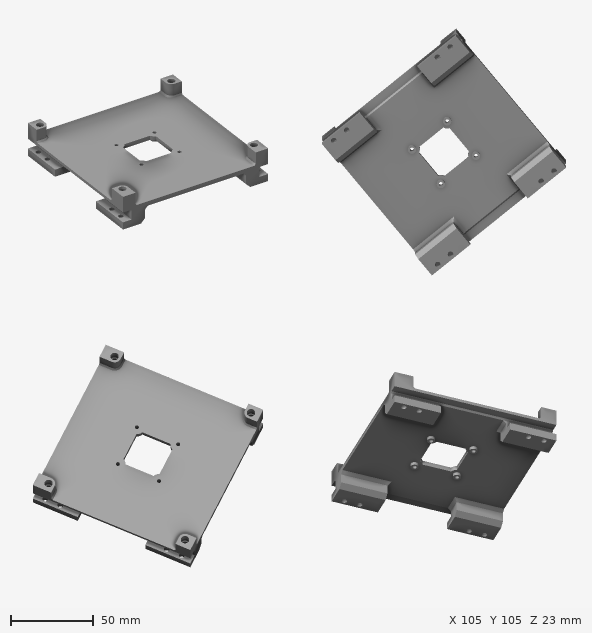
import cadquery as cq

LENGTH = 105.0
WIDTH = 105.0
HEIGHT = 23.0
HALF_LENGTH = LENGTH / 2
HALF_WIDTH = WIDTH / 2

PLATE_THICKNESS = 3.0
PLATE_TOP = 14.0
PLATE_BOTTOM = PLATE_TOP - PLATE_THICKNESS

LEG_LENGTH = 30.0
LEG_WIDTH = 16.0
FLANGE_THICKNESS = 5.0
SLOT_TOP = 12.0
SLOT_DEPTH = 6.25
SLOT_CHAMFER = 1.0
LEG_FOOT_CHAMFER = 3.0
LEG_ROOT_CHAMFER = 2.0
FLANGE_HOLE_DIAMETER = 3.4
FLANGE_HOLE_FIRST = 7.0
FLANGE_HOLE_PITCH = 10.0
FLANGE_HOLE_INSET = 3.0

POST_HOLE_INSET_Y = 5.0
POST_HOLE_INSET_LEFT = 5.85
POST_HOLE_INSET_RIGHT = 8.25
POST_HOLE_DIAMETER = 5.0
POST_HOLE_DEPTH = 6.0
POST_PILOT_DIAMETER = 3.5
POST_PILOT_DEPTH = HEIGHT - PLATE_TOP
POST_WALL = 1.5
POST_CORNER_RADIUS = POST_HOLE_DIAMETER / 2 + POST_WALL
POST_FOOT_CHAMFER = 1.0
POST_FOOT_TAPER = 45.0

OPENING_SIZE = 24.0
BOSS_PITCH = 27.5
BOSS_DIAMETER = 5.0
BOSS_HEIGHT = 2.0
BOSS_HOLE_DIAMETER = 2.5
BOSS_LAND_RADIUS = 4.75


def make_plate_with_rails():
    """Plate with a full-length leg section along the -Y and +Y edges."""
    leg_inside = HALF_WIDTH - LEG_WIDTH
    slot_wall = HALF_WIDTH - SLOT_DEPTH
    half_profile = [
        (0, PLATE_TOP),
        (HALF_WIDTH, PLATE_TOP),
        (HALF_WIDTH, SLOT_TOP),
        (slot_wall + SLOT_CHAMFER, SLOT_TOP),
        (slot_wall, SLOT_TOP - SLOT_CHAMFER),
        (slot_wall, FLANGE_THICKNESS),
        (HALF_WIDTH, FLANGE_THICKNESS),
        (HALF_WIDTH, 0),
        (leg_inside + LEG_FOOT_CHAMFER, 0),
        (leg_inside, LEG_FOOT_CHAMFER),
        (leg_inside, PLATE_BOTTOM - LEG_ROOT_CHAMFER),
        (leg_inside - LEG_ROOT_CHAMFER, PLATE_BOTTOM),
        (0, PLATE_BOTTOM),
    ]
    half = cq.Workplane("YZ").polyline(half_profile).close().extrude(HALF_LENGTH, both=True)
    return half.union(half.mirror("XZ"))


def make_leg_gap():
    """Space between the -X and +X legs, narrowed where the legs meet the plate."""
    half_gap = HALF_LENGTH - LEG_LENGTH
    shoulder = PLATE_BOTTOM - LEG_ROOT_CHAMFER
    profile = [
        (-half_gap, 0),
        (half_gap, 0),
        (half_gap, shoulder),
        (half_gap - LEG_ROOT_CHAMFER, PLATE_BOTTOM),
        (-half_gap + LEG_ROOT_CHAMFER, PLATE_BOTTOM),
        (-half_gap, shoulder),
    ]
    return cq.Workplane("XZ").polyline(profile).close().extrude(HALF_WIDTH, both=True)


def make_flange_holes():
    """Two vertical screw holes near the outer end of every flange."""
    hole_y = HALF_WIDTH - FLANGE_HOLE_INSET
    outer_x = HALF_LENGTH - FLANGE_HOLE_FIRST
    points = [
        (side_x * (outer_x - index * FLANGE_HOLE_PITCH), side_y * hole_y)
        for side_x in (-1, 1)
        for side_y in (-1, 1)
        for index in range(2)
    ]
    return cq.Workplane("XY").pushPoints(points).circle(FLANGE_HOLE_DIAMETER / 2).extrude(FLANGE_THICKNESS)


def make_post(hole_inset_x):
    """Post in the +X +Y corner: rounded inner edge, chamfered foot and stepped blind hole."""
    size_x = hole_inset_x + POST_CORNER_RADIUS
    size_y = POST_HOLE_INSET_Y + POST_CORNER_RADIUS
    corner = (HALF_LENGTH, HALF_WIDTH, PLATE_TOP)
    block = (
        cq.Workplane("XY", origin=corner)
        .rect(-size_x, -size_y, centered=False)
        .extrude(HEIGHT - PLATE_TOP)
        .edges("|Z and <X and <Y")
        .fillet(POST_CORNER_RADIUS)
    )
    foot_x = size_x + POST_FOOT_CHAMFER
    foot_y = size_y + POST_FOOT_CHAMFER
    foot_sketch = (
        cq.Sketch()
        .rect(2 * foot_x, 2 * foot_y)
        .vertices()
        .fillet(POST_CORNER_RADIUS + POST_FOOT_CHAMFER)
    )
    foot = (
        cq.Workplane("XY", origin=corner)
        .placeSketch(foot_sketch)
        .extrude(POST_FOOT_CHAMFER, taper=POST_FOOT_TAPER)
    )
    corner_quarter = (
        cq.Workplane("XY", origin=corner)
        .rect(-foot_x, -foot_y, centered=False)
        .extrude(POST_FOOT_CHAMFER)
    )
    post = block.union(foot.intersect(corner_quarter))
    hole_center = (HALF_LENGTH - hole_inset_x, HALF_WIDTH - POST_HOLE_INSET_Y, HEIGHT)
    top = cq.Workplane("XY", origin=hole_center)
    hole = top.circle(POST_HOLE_DIAMETER / 2).extrude(-POST_HOLE_DEPTH)
    pilot = top.circle(POST_PILOT_DIAMETER / 2).extrude(-POST_PILOT_DEPTH)
    return post.cut(hole).cut(pilot)


def boss_cylinders(radius, bottom, top):
    """Four vertical cylinders on the boss pattern."""
    return (
        cq.Workplane("XY", origin=(0, 0, bottom))
        .rect(BOSS_PITCH, BOSS_PITCH, forConstruction=True)
        .vertices()
        .circle(radius)
        .extrude(top - bottom)
    )


def make_opening():
    """Square opening whose corners leave a round land around each boss."""
    square = (
        cq.Workplane("XY", origin=(0, 0, PLATE_BOTTOM))
        .rect(OPENING_SIZE, OPENING_SIZE)
        .extrude(PLATE_THICKNESS)
    )
    return square.cut(boss_cylinders(BOSS_LAND_RADIUS, PLATE_BOTTOM, PLATE_TOP))


body = make_plate_with_rails().cut(make_leg_gap()).cut(make_flange_holes())

right_post = make_post(POST_HOLE_INSET_RIGHT)
left_post = make_post(POST_HOLE_INSET_LEFT).mirror("YZ")
for post in (right_post, left_post):
    body = body.union(post).union(post.mirror("XZ"))

boss_bottom = PLATE_BOTTOM - BOSS_HEIGHT
body = body.cut(make_opening())
body = body.union(boss_cylinders(BOSS_DIAMETER / 2, boss_bottom, PLATE_BOTTOM))
result = body.cut(boss_cylinders(BOSS_HOLE_DIAMETER / 2, boss_bottom, PLATE_TOP))